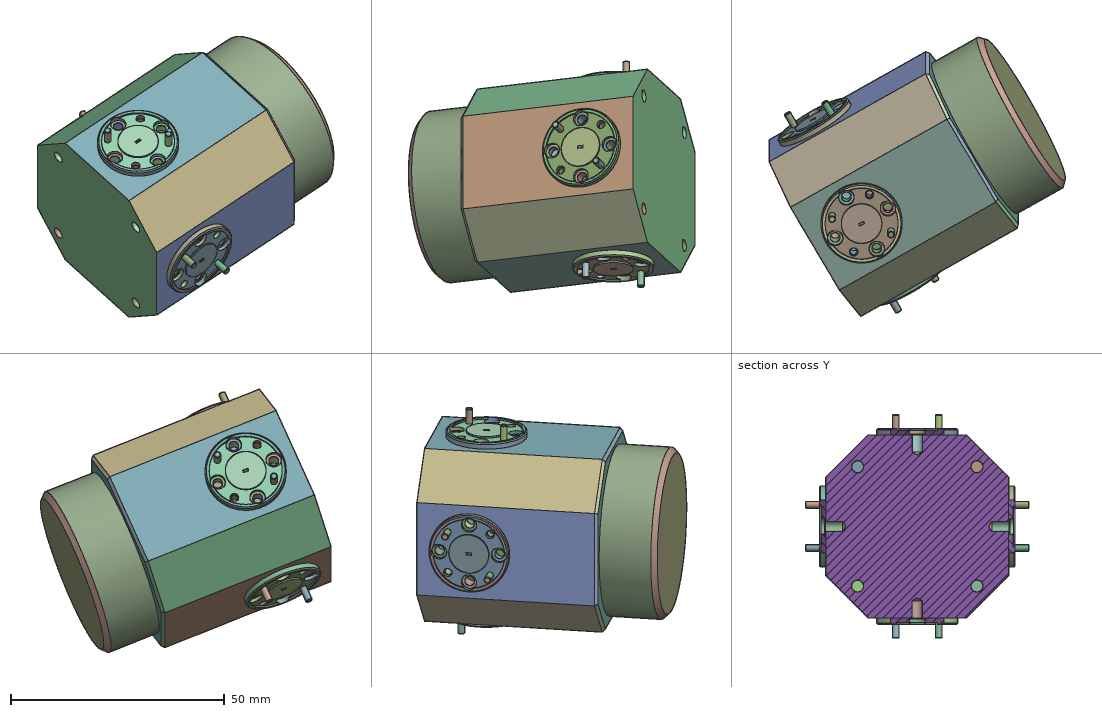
import cadquery as cq
import math

housing_width = 43.0
corner_cut = 10.0
front_y = -12.65
housing_length = 43.1
rear_chamfer = 0.7
back_y = front_y + housing_length
face_distance = housing_width / 2

front_hole_diameter = 2.75
front_hole_spacing = 28.0
front_hole_depth = 8.0

overall_length = 56.92
knob_gap = 0.2
knob_diameter = 40.6
knob_chamfer = 1.3
knob_length = overall_length - housing_length - knob_gap

flange_count = 4
flange_diameter = 19.05
flange_height = 1.45
flange_edge_chamfer = 0.3
rim_inner_diameter = 17.1
boss_diameter = 9.525
recess_depth = 0.4
bolt_circle_radius = 14.29 / 2
screw_hole_diameter = 2.3
counterbore_diameter = 3.6
counterbore_depth = 1.25
waveguide_width = 0.55
waveguide_length = 1.3
waveguide_depth = 0.3

pin_diameter = 1.6
pin_tip_chamfer = 0.15
overall_width = 52.45
pin_length = overall_width / 2 - face_distance - flange_height + recess_depth
pin_hole_diameter = 1.65
pin_clearance_diameter = 1.95

core_diameter = 39.4
drilled_depth = 4.0
drill_point_angle = 118


def on_bolt_circle(*angles):
    return [
        (
            bolt_circle_radius * math.cos(math.radians(angle)),
            bolt_circle_radius * math.sin(math.radians(angle)),
        )
        for angle in angles
    ]


screw_points = on_bolt_circle(0, 90, 180, 270)
pin_points = on_bolt_circle(45, 225)
pin_hole_points = on_bolt_circle(135, 315)


def turn_to_side(shape, side):
    """Turn a shape made for the +Z face about Y to one of the four flange faces."""
    return shape.rotate((0, 0, 0), (0, 1, 0), side * 360 / flange_count)


def make_drilled_hole(point, diameter):
    """Cutter for a hole with a conical drill point, going down from the +Z face."""
    radius = diameter / 2
    bottom = face_distance - drilled_depth
    tip = bottom - radius / math.tan(math.radians(drill_point_angle / 2))
    profile = (
        cq.Workplane("XZ")
        .moveTo(0, tip)
        .lineTo(radius, bottom)
        .lineTo(radius, face_distance)
        .lineTo(0, face_distance)
        .close()
    )
    return profile.revolve(360, (0, 0, 0), (0, 1, 0)).translate((*point, 0))


def make_core_hole(point, diameter):
    """Cutter for a hole from the +Z face that ends on the core cylinder."""
    hole = cq.Workplane("XY").center(*point).circle(diameter / 2).extrude(face_distance)
    core = cq.Workplane("XZ").circle(core_diameter / 2).extrude(housing_length, both=True)
    return hole.cut(core)


def make_face_holes():
    """Cutters for all the holes under the flange on the +Z face."""
    holes = []
    for points, diameter in (
        (screw_points, screw_hole_diameter),
        (pin_hole_points, pin_hole_diameter),
    ):
        for point in points:
            on_front_side = point[1] < 0
            make_hole = make_drilled_hole if on_front_side else make_core_hole
            holes.append(make_hole(point, diameter))
    return holes


def make_housing():
    housing = (
        cq.Workplane("XZ", origin=(0, back_y, 0))
        .rect(housing_width, housing_width)
        .extrude(housing_length)
        .edges("|Y")
        .chamfer(corner_cut)
        .faces(">Y")
        .chamfer(rear_chamfer)
    )
    front_holes = (
        cq.Workplane("XZ", origin=(0, front_y + front_hole_depth, 0))
        .rect(front_hole_spacing, front_hole_spacing, forConstruction=True)
        .vertices()
        .circle(front_hole_diameter / 2)
        .extrude(front_hole_depth)
    )
    housing = housing.cut(front_holes)
    for hole in make_face_holes():
        for side in range(flange_count):
            housing = housing.cut(turn_to_side(hole, side))
    return housing


def make_knob():
    return (
        cq.Workplane("XZ", origin=(0, back_y + knob_gap + knob_length, 0))
        .circle(knob_diameter / 2)
        .extrude(knob_length)
        .faces(">Y")
        .chamfer(knob_chamfer)
    )


def make_flange():
    """Flange on the +Z face, with its two pins."""
    top = face_distance + flange_height
    recess_floor = top - recess_depth
    flange = (
        cq.Workplane("XY", origin=(0, 0, face_distance))
        .circle(flange_diameter / 2)
        .extrude(flange_height)
        .faces(">Z")
        .chamfer(flange_edge_chamfer)
    )
    recess = (
        cq.Workplane("XY", origin=(0, 0, recess_floor))
        .circle(rim_inner_diameter / 2)
        .circle(boss_diameter / 2)
        .extrude(recess_depth)
    )
    waveguide = (
        cq.Workplane("XY", origin=(0, 0, top - waveguide_depth))
        .rect(waveguide_width, waveguide_length)
        .extrude(waveguide_depth)
    )
    screw_holes = (
        cq.Workplane("XY", origin=(0, 0, top))
        .pushPoints(screw_points)
        .circle(screw_hole_diameter / 2)
        .extrude(-flange_height)
    )
    counterbores = (
        cq.Workplane("XY", origin=(0, 0, top))
        .pushPoints(screw_points)
        .circle(counterbore_diameter / 2)
        .extrude(-counterbore_depth)
    )
    pin_holes = (
        cq.Workplane("XY", origin=(0, 0, top))
        .pushPoints(pin_hole_points)
        .circle(pin_clearance_diameter / 2)
        .extrude(-flange_height)
    )
    for cutter in (recess, waveguide, screw_holes, counterbores, pin_holes):
        flange = flange.cut(cutter)
    pins = (
        cq.Workplane("XY", origin=(0, 0, recess_floor))
        .pushPoints(pin_points)
        .circle(pin_diameter / 2)
        .extrude(pin_length)
        .faces(">Z")
        .chamfer(pin_tip_chamfer)
    )
    return flange.union(pins)


housing = make_housing()
knob = make_knob()
flange = make_flange()
flanges = [turn_to_side(flange, side).val() for side in range(flange_count)]

result = cq.Compound.makeCompound([housing.val(), knob.val(), *flanges])